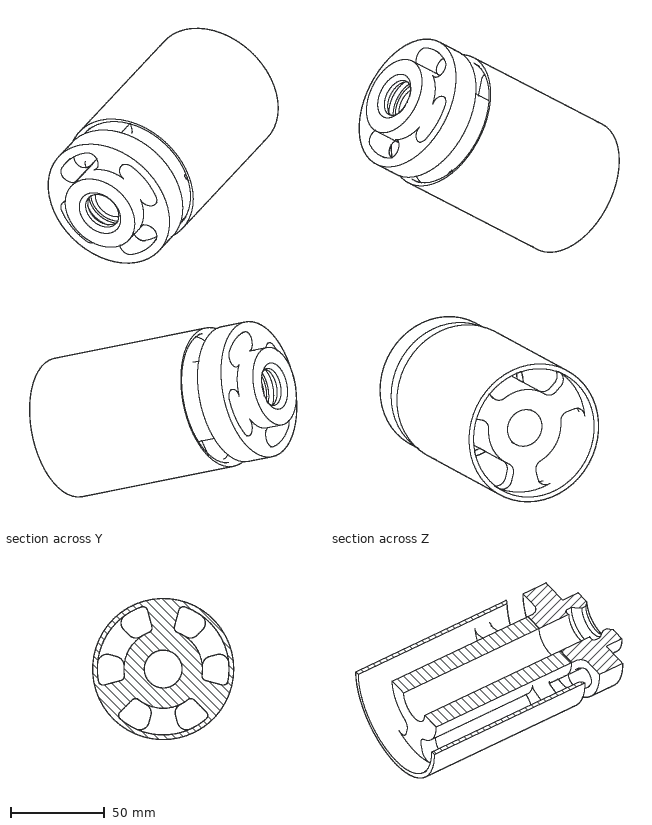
import cadquery as cq
import math

length = 131.5
bore_d = 20.0
pipe_d = 42.0

adapter_length = 32.5
nose_bore_d = 25.0
chamber_d = 27.0
chamber_front = 5.0
chamber_wall_front = 9.5
chamber_back = 13.4
chamber_chamfer = 0.8
flange_d = 73.2
flange_front = 10.0
flange_back = 25.0
slot_count = 4
slot_angle = 60.0
slot_outer_d = 63.1
slot_corner = 5.0
hub_overlap = 0.01
web_fillet = 5.0

tube_d = 75.2
tube_bore_d = 70.0
tube_front = 35.0
mouth_fillet = 2.5
spokes_per_row = 3
spoke_angle = 30.0
spoke_thickness = 10.0
spoke_inset = 12.2
spoke_embed = 1.3
front_row_angle = 90.0
front_root_fillet = 2.5
front_edge_fillet = 0.9
rear_row_angle = 30.0
rear_root_fillet = 5.0
rear_edge_fillet = 2.2

front_row_start = tube_front + spoke_inset
rear_row_end = length - spoke_inset
rear_row_start = rear_row_end - spoke_thickness


def cylinder(diameter, start, end):
    """Solid cylinder around the Y axis."""
    return cq.Workplane("XZ", origin=(0, start, 0)).circle(diameter / 2).extrude(start - end)


def revolve_profile(profile):
    """Revolve a closed (radius, y) profile around the Y axis."""
    return profile.close().revolve(360, (0, 0, 0), (0, 1, 0))


def polar(radius, angle):
    """Point (x, z) at an angle measured from +X towards +Z."""
    radians = math.radians(angle)
    return radius * math.cos(radians), radius * math.sin(radians)


def sector(inner_d, outer_d, middle_angle, width, start, end):
    """Annular sector extruded along Y."""
    inner_r = inner_d / 2
    outer_r = outer_d / 2
    first = middle_angle - width / 2
    last = middle_angle + width / 2
    return (
        cq.Workplane("XZ", origin=(0, start, 0))
        .moveTo(*polar(inner_r, first))
        .lineTo(*polar(outer_r, first))
        .threePointArc(polar(outer_r, middle_angle), polar(outer_r, last))
        .lineTo(*polar(inner_r, last))
        .threePointArc(polar(inner_r, middle_angle), polar(inner_r, first))
        .close()
        .extrude(start - end)
    )


def make_flange():
    """Flange flared into the hub at its back, with four kidney slots through both."""
    hub_r = pipe_d / 2
    sag = web_fillet * (1 - math.sqrt(0.5))
    flange = revolve_profile(
        cq.Workplane("XY")
        .moveTo(0, flange_front)
        .lineTo(flange_d / 2, flange_front)
        .lineTo(flange_d / 2, flange_back)
        .lineTo(hub_r + web_fillet, flange_back)
        .threePointArc((hub_r + sag, flange_back + sag), (hub_r, flange_back + web_fillet))
        .lineTo(0, flange_back + web_fillet)
    )
    slot_pitch = 360 / slot_count
    slot_inner_d = pipe_d - 2 * hub_overlap
    for index in range(slot_count):
        middle = slot_pitch * (index + 0.5)
        slot = sector(slot_inner_d, slot_outer_d, middle, slot_angle, flange_front, adapter_length)
        flange = flange.cut(slot.edges("|Y").fillet(slot_corner))
    return flange


def make_adapter_bore():
    """Through bore with a countersunk nose and a wider chamber."""
    bore_r = bore_d / 2
    nose_r = nose_bore_d / 2
    chamber_r = chamber_d / 2
    return revolve_profile(
        cq.Workplane("XY")
        .moveTo(0, 0)
        .lineTo(nose_r, 0)
        .lineTo(bore_r, nose_r - bore_r)
        .lineTo(bore_r, chamber_front)
        .lineTo(chamber_r, chamber_wall_front)
        .lineTo(chamber_r, chamber_back - chamber_chamfer)
        .lineTo(chamber_r - chamber_chamfer, chamber_back)
        .lineTo(bore_r, chamber_back)
        .lineTo(bore_r, adapter_length)
        .lineTo(0, adapter_length)
    )


def make_adapter():
    hub = cylinder(pipe_d, 0, adapter_length)
    return make_flange().union(hub).cut(make_adapter_bore())


def edges_on_cylinder(shape, diameter):
    """Edges of a shape that lie on a cylinder around the Y axis."""
    found = []
    for edge in shape.edges().vals():
        points = [edge.positionAt(t) for t in (0, 0.5, 1)]
        if all(abs(math.hypot(p.x, p.z) - diameter / 2) < 0.001 for p in points):
            found.append(edge)
    return found


def make_spoke(middle_angle, start, root_fillet, edge_fillet):
    """Spoke between a slice of the pipe and a slice of the tube, blended at both ends."""
    end = start + spoke_thickness
    blade = sector(pipe_d - 2 * spoke_embed, tube_d - 1.3, middle_angle, spoke_angle, start, end)
    tube_slice = cylinder(tube_d, start, end).cut(cylinder(tube_bore_d, start, end))
    spoke = tube_slice.union(blade)

    tube_corners = [e for e in edges_on_cylinder(spoke, tube_bore_d) if e.geomType() == "LINE"]
    spoke = spoke.newObject(tube_corners).fillet(root_fillet)
    spoke = spoke.faces("<Y").edges("%LINE").fillet(edge_fillet)

    pipe_start = start - 2 * root_fillet
    spoke = spoke.union(cylinder(pipe_d, pipe_start, end))
    roots = []
    for edge in edges_on_cylinder(spoke, pipe_d):
        center = edge.Center()
        direction = math.atan2(center.z, center.x) - math.radians(middle_angle)
        beside_spoke = math.cos(direction) > math.cos(math.radians(spoke_angle))
        if beside_spoke and start - root_fillet < center.y < end - root_fillet / 10:
            roots.append(edge)
    return spoke.newObject(roots).fillet(root_fillet)


def make_housing():
    tube = cylinder(tube_d, tube_front, length).cut(cylinder(tube_bore_d, tube_front, length))
    tube = tube.faces("<Y").edges("%CIRCLE").edges(cq.selectors.RadiusNthSelector(0)).fillet(mouth_fillet)
    housing = tube.union(cylinder(pipe_d, adapter_length, rear_row_end), clean=False)
    spoke_pitch = 360 / spokes_per_row
    for index in range(spokes_per_row):
        turn = index * spoke_pitch
        front = make_spoke(front_row_angle + turn, front_row_start, front_root_fillet, front_edge_fillet)
        rear = make_spoke(rear_row_angle + turn, rear_row_start, rear_root_fillet, rear_edge_fillet)
        housing = housing.union(front).union(rear)
    return housing.cut(cylinder(bore_d, adapter_length, length))


adapter = make_adapter()
housing = make_housing()
result = cq.Compound.makeCompound([adapter.val(), housing.val()])